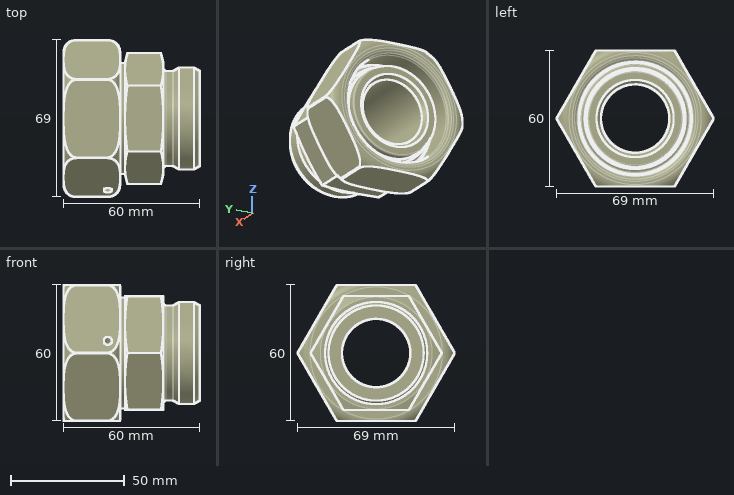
import cadquery as cq
import math


total_length = 60.0
bore_diameter = 30.0
nose_start = 4.0
nose_diameter = 41.6
nose_edge_radius = 0.4
nose_chamfer = 2.0
cone_half_angle = math.radians(12)
shoulder_start = 14.0
shoulder_fillet = 1.0
collar_diameter = 48.95
hex_start = 27.0
hex_end = 44.0
hex_across_flats = 50.0
hex_end_face_diameter = 49.25
hex_bevel_angle = math.radians(15)
thread_diameter = 45.0
undercut_diameter = 41.9
undercut_fillet = 1.2
thread_bevel_angle = math.radians(30)
thread_start = 50.9

oring_thickness = 3.54
oring_inner_diameter = 35.34
oring_centre = 8.9

nut_length = 25.0
nut_across_flats = 60.0
nut_turned_diameter = 69.0
nut_corner_radius = 5.4
nut_bore_diameter = 50.0
nut_mouth_diameter = 54.3
nut_mouth_angle = math.radians(60)
nut_mouth_outer_fillet = 2.0
nut_mouth_inner_fillet = 1.2
nut_bore_depth = 15.5
nut_rear_bore_diameter = 49.25

wire_thickness = 3.35
wire_hole_diameter = 3.54
wire_circle_radius = nut_rear_bore_diameter / 2
wire_position = 19.5
wire_hole_tilt = 60.0


def revolve_about_x(profile):
    """Full turn of a closed XY profile (x along the axis, y as radius)."""
    return profile.close().revolve(360, (0, 0, 0), (1, 0, 0))


def hexagon(across_flats, start, end):
    """Hexagonal bar along X with flats at the top and bottom."""
    across_corners = across_flats / math.cos(math.pi / 6)
    return cq.Workplane("YZ", origin=(start, 0, 0)).polygon(6, across_corners).extrude(end - start)


def ring(centre_x, circle_radius, thickness):
    """Round-section ring about the X axis."""
    return (
        cq.Workplane("XY")
        .center(centre_x, circle_radius)
        .circle(thickness / 2)
        .revolve(360, (0, -circle_radius, 0), (1, -circle_radius, 0))
    )


def box_about_axis(x, reach):
    """Selector for edges lying wholly inside a thin square slab around the X axis."""
    margin = 0.05
    return cq.selectors.BoxSelector(
        (x - margin, -reach - margin, -reach - margin),
        (x + margin, reach + margin, reach + margin),
        boundingbox=True,
    )


def fillet_circle(solid, x, radius, fillet_radius):
    """Round the circular edge of the given radius at x, leaving smaller circles there alone."""
    smaller = 0.98 * radius
    circle = box_about_axis(x, radius) - box_about_axis(x, smaller)
    return solid.edges(circle).fillet(fillet_radius)


def make_turned_body():
    """Bored body with cone nose, collar, undercut and thread stub, before the hexagon is added."""
    bore_radius = bore_diameter / 2
    nose_radius = nose_diameter / 2
    shoulder_radius = nose_radius + (shoulder_start - nose_start) * math.tan(cone_half_angle)
    collar_radius = collar_diameter / 2
    thread_radius = thread_diameter / 2
    undercut_radius = undercut_diameter / 2
    bevel_length = (thread_radius - undercut_radius) / math.tan(thread_bevel_angle)
    undercut_end = thread_start - bevel_length
    thread_end = total_length - bevel_length
    profile = (
        cq.Workplane("XY")
        .moveTo(nose_start, bore_radius + nose_chamfer)
        .lineTo(nose_start, nose_radius)
        .lineTo(shoulder_start, shoulder_radius)
        .lineTo(shoulder_start, collar_radius)
        .lineTo(hex_end, collar_radius)
        .lineTo(hex_end, undercut_radius)
        .lineTo(undercut_end, undercut_radius)
        .lineTo(thread_start, thread_radius)
        .lineTo(thread_end, thread_radius)
        .lineTo(total_length, undercut_radius)
        .lineTo(total_length, bore_radius)
        .lineTo(nose_start + nose_chamfer, bore_radius)
    )
    turned = revolve_about_x(profile)
    turned = fillet_circle(turned, nose_start, nose_radius, nose_edge_radius)
    turned = fillet_circle(turned, shoulder_start, shoulder_radius, shoulder_fillet)
    for x in (hex_end, undercut_end):
        turned = fillet_circle(turned, x, undercut_radius, undercut_fillet)
    return turned


def make_bevelled_hexagon():
    """Wrench hexagon with its corners bevelled at both ends."""
    end_radius = hex_end_face_diameter / 2
    corner_radius = hex_across_flats / 2 / math.cos(math.pi / 6)
    bevel_length = (corner_radius - end_radius) * math.tan(hex_bevel_angle)
    bore_radius = bore_diameter / 2
    envelope = (
        cq.Workplane("XY")
        .moveTo(hex_start, bore_radius)
        .lineTo(hex_start, end_radius)
        .lineTo(hex_start + bevel_length, corner_radius)
        .lineTo(hex_end - bevel_length, corner_radius)
        .lineTo(hex_end, end_radius)
        .lineTo(hex_end, bore_radius)
    )
    return hexagon(hex_across_flats, hex_start, hex_end).intersect(revolve_about_x(envelope))


def make_body():
    """Turned body with the wrench hexagon, O-ring groove and its half of the wire channel."""
    groove = (
        cq.Workplane("YZ", origin=(oring_centre - oring_thickness / 2, 0, 0))
        .circle(collar_diameter / 2)
        .circle(oring_inner_diameter / 2)
        .extrude(oring_thickness)
    )
    wire_channel = ring(wire_position, wire_circle_radius, wire_thickness)
    return make_turned_body().union(make_bevelled_hexagon()).cut(groove).cut(wire_channel)


def make_wire_hole():
    """Feed hole running tangentially into the wire channel through the upper front flat."""
    return (
        cq.Workplane("XY", origin=(wire_position, 0, 0))
        .center(0, -wire_circle_radius)
        .circle(wire_hole_diameter / 2)
        .extrude(nut_across_flats)
        .rotate((0, 0, 0), (1, 0, 0), 90 - wire_hole_tilt)
    )


def make_nut():
    """Hexagonal union nut with rounded corners, flared mouth and stepped bore."""
    outer_radius = nut_turned_diameter / 2
    mouth_radius = nut_mouth_diameter / 2
    bore_radius = nut_bore_diameter / 2
    rear_bore_radius = nut_rear_bore_diameter / 2
    mouth_depth = (mouth_radius - bore_radius) / math.tan(nut_mouth_angle)
    profile = (
        cq.Workplane("XY")
        .moveTo(0, mouth_radius)
        .lineTo(0, outer_radius)
        .lineTo(nut_length, outer_radius)
        .lineTo(nut_length, rear_bore_radius)
        .lineTo(nut_bore_depth, rear_bore_radius)
        .lineTo(nut_bore_depth, bore_radius)
        .lineTo(mouth_depth, bore_radius)
    )
    turned = revolve_about_x(profile)
    for x in (0, nut_length):
        turned = fillet_circle(turned, x, outer_radius, nut_corner_radius)
    turned = fillet_circle(turned, 0, mouth_radius, nut_mouth_outer_fillet)
    turned = fillet_circle(turned, mouth_depth, bore_radius, nut_mouth_inner_fillet)
    wire_channel = ring(wire_position, wire_circle_radius, wire_thickness)
    nut = hexagon(nut_across_flats, 0, nut_length).intersect(turned)
    return nut.cut(wire_channel).cut(make_wire_hole())


body = make_body()
nut = make_nut()
oring = ring(oring_centre, (oring_inner_diameter + oring_thickness) / 2, oring_thickness)
wire = ring(wire_position, wire_circle_radius, wire_thickness)

result = cq.Compound.makeCompound([body.val(), nut.val(), oring.val(), wire.val()])